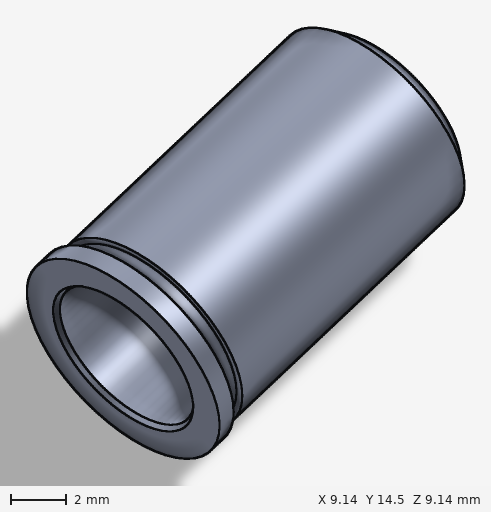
import cadquery as cq

length = 14.48
flange_diameter = 9.14
flange_thickness = 0.78

body_diameter = 8.66
groove_diameter = 8.11
groove_width = 0.75

taper_length = 0.64
taper_end_diameter = 7.24

bore_diameter = 6.34
bore_chamfer_width = 0.15
bore_chamfer_depth = 0.2

front_y = -length / 2
back_y = length / 2
groove_start_y = front_y + flange_thickness
groove_end_y = groove_start_y + groove_width
bore_radius = bore_diameter / 2

wall_section = (
    cq.Workplane("XY")
    .moveTo(bore_radius + bore_chamfer_width, front_y)
    .lineTo(flange_diameter / 2, front_y)
    .lineTo(flange_diameter / 2, groove_start_y)
    .lineTo(groove_diameter / 2, groove_start_y)
    .lineTo(groove_diameter / 2, groove_end_y)
    .lineTo(body_diameter / 2, groove_end_y)
    .lineTo(body_diameter / 2, back_y - taper_length)
    .lineTo(taper_end_diameter / 2, back_y)
    .lineTo(bore_radius, back_y)
    .lineTo(bore_radius, front_y + bore_chamfer_depth)
    .close()
)

result = wall_section.revolve(360, (0, 0, 0), (0, 1, 0))